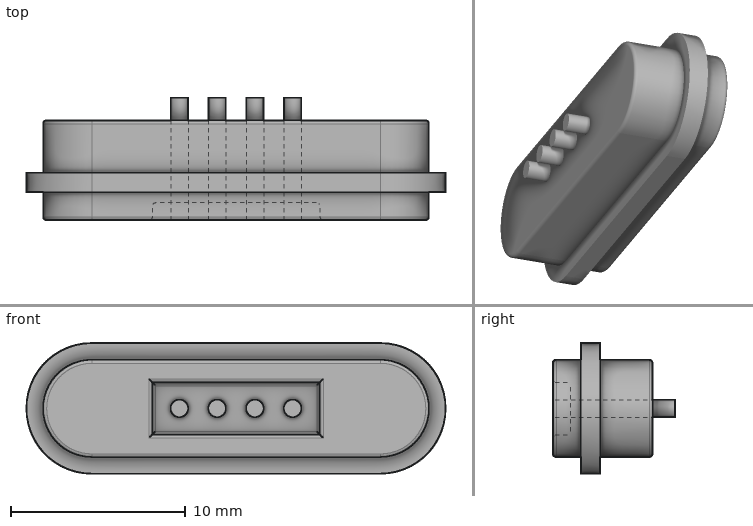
import cadquery as cq

flange_length = 24.0
flange_height = 7.5
flange_overhang = 0.95
flange_thickness = 1.1
flange_front = 1.6
body_depth = 5.7
edge_radius = 0.2

body_length = flange_length - 2 * flange_overhang
body_height = flange_height - 2 * flange_overhang

recess_length = 9.6
recess_height = 3.0
recess_depth = 1.0

pin_count = 4
pin_diameter = 1.0
pin_pitch = 2.15
pin_tail = 1.3
pin_length = body_depth + pin_tail


def front_plane(y):
    """Plane at depth y whose normal points backwards (+Y)."""
    return cq.Workplane(cq.Plane(origin=(0, y, 0), xDir=(1, 0, 0), normal=(0, 1, 0)))


def make_pin(x):
    """One contact pin, running backwards from the front face."""
    return front_plane(0).center(x, 0).circle(pin_diameter / 2).extrude(pin_length)


def make_housing(pins):
    """Rounded body and flange with a recess and one hole for each pin."""
    body = front_plane(0).slot2D(body_length, body_height).extrude(body_depth)
    body = body.faces("<Y or >Y").edges().fillet(edge_radius)

    flange = front_plane(flange_front).slot2D(flange_length, flange_height).extrude(flange_thickness)
    housing = body.union(flange)

    recess = front_plane(0).rect(recess_length, recess_height).extrude(recess_depth)
    recess = recess.faces(">Y").edges().fillet(edge_radius)
    housing = housing.cut(recess)
    rim = housing.faces("<Y").val().innerWires()[0]
    housing = housing.newObject([rim]).edges().fillet(edge_radius)

    for pin in pins:
        housing = housing.cut(pin)
    return housing


first_pin_x = -pin_pitch * (pin_count - 1) / 2
pins = [make_pin(first_pin_x + index * pin_pitch) for index in range(pin_count)]
housing = make_housing(pins)

result = cq.Compound.makeCompound([housing.solids().val(), *[pin.val() for pin in pins]])